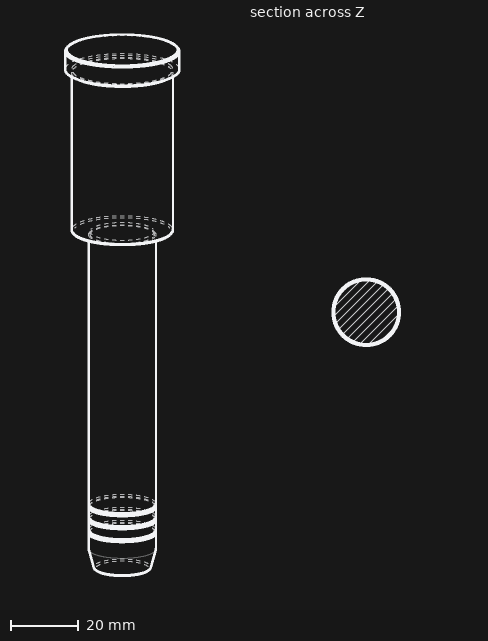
import cadquery as cq
import math

total_length = 160
head_height = 6.0
body_length = 50.0
head_underside = total_length - head_height
body_bottom = head_underside - body_length

head_radius = 34.0 / 2
body_radius = 30.0 / 2
pin_radius = 20.0 / 2

head_chamfer = 0.5
body_chamfer = 0.5
tip_chamfer = 0.5
relief_width = 1.0
relief_depth = 0.5

taper_height = 6.0
taper_angle = 15
tip_radius = pin_radius - taper_height * math.tan(math.radians(taper_angle))

groove_count = 3
groove_pitch = 4.0
lowest_groove = 11.5
groove_width = 1.0
groove_depth = 0.5


def cylinder(radius, bottom, height):
    return cq.Workplane("XY").workplane(offset=bottom).circle(radius).extrude(height)


def square_ring(radius, bottom, width, depth):
    """Ring that cuts a square groove into a cylinder of the given radius."""
    return cylinder(radius, bottom, width).cut(cylinder(radius - depth, bottom, width))


def vee_ring(radius, center, width, depth):
    """Ring that cuts a V groove into a cylinder of the given radius."""
    return (
        cq.Workplane("XZ")
        .moveTo(radius, center - width / 2)
        .lineTo(radius - depth, center)
        .lineTo(radius, center + width / 2)
        .close()
        .revolve(360, (0, 0, 0), (0, 1, 0))
    )


def make_pin():
    """Long pin with a tapered, chamfered tip."""
    tip = (
        cq.Workplane("XY")
        .circle(tip_radius)
        .workplane(offset=taper_height)
        .circle(pin_radius)
        .loft(ruled=True)
        .faces("<Z")
        .chamfer(tip_chamfer)
    )
    return tip.union(cylinder(pin_radius, taper_height, body_bottom - taper_height))


head = cylinder(head_radius, head_underside, head_height).faces(">Z").chamfer(head_chamfer)
body = cylinder(body_radius, body_bottom, body_length).faces("<Z").chamfer(body_chamfer)
result = head.union(body).union(make_pin())

head_relief_center = head_underside - relief_width / 2
result = result.cut(vee_ring(body_radius, head_relief_center, relief_width, relief_depth))
body_relief_bottom = body_bottom - relief_width
result = result.cut(square_ring(pin_radius, body_relief_bottom, relief_width, relief_depth))

for index in range(groove_count):
    groove_center = lowest_groove + index * groove_pitch
    result = result.cut(vee_ring(pin_radius, groove_center, groove_width, groove_depth))